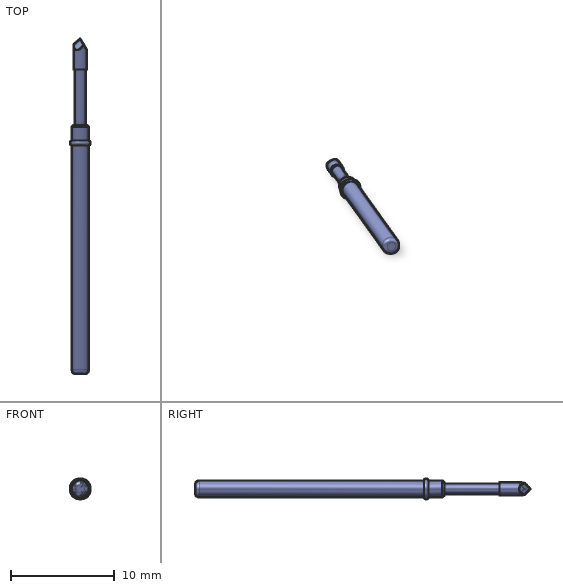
import cadquery as cq

total_length = 32.3
barrel_diameter = 1.65
barrel_radius = barrel_diameter / 2
barrel_end_fillet = 0.42
barrel_length = 24.0
shoulder_chamfer = 0.2

ring_radius = 1.0
ring_width = 0.45
ring_center_y = 22.25

neck_diameter = 1.05
neck_radius = neck_diameter / 2
head_radius = 0.65
head_length = 2.97
tip_facets = 3
tip_facet_depth = 1.1


def cylinder_along_y(radius, start_y, end_y):
    return cq.Workplane("XZ", origin=(0, start_y, 0)).circle(radius).extrude(start_y - end_y)


def make_barrel():
    barrel = cylinder_along_y(barrel_radius, 0, barrel_length)
    barrel = barrel.faces("<Y").edges().fillet(barrel_end_fillet)
    return barrel.faces(">Y").edges().chamfer(shoulder_chamfer)


def make_press_ring():
    """Rounded collar: an arc bulging out of the barrel, revolved around the Y axis."""
    half_width = ring_width / 2
    profile = (
        cq.Workplane("XY")
        .moveTo(0, ring_center_y - half_width)
        .lineTo(barrel_radius, ring_center_y - half_width)
        .threePointArc((ring_radius, ring_center_y), (barrel_radius, ring_center_y + half_width))
        .lineTo(0, ring_center_y + half_width)
        .close()
    )
    return profile.revolve(360, (0, 0, 0), (0, 1, 0))


def make_head():
    """Plunger head cut to a pyramid with one facet facing +X and an edge facing -X."""
    head = cylinder_along_y(head_radius, total_length - head_length, total_length)
    cutter = (
        cq.Workplane("XY")
        .moveTo(0, total_length)
        .lineTo(head_radius, total_length - tip_facet_depth)
        .lineTo(2 * head_radius, total_length - tip_facet_depth)
        .lineTo(2 * head_radius, total_length + head_radius)
        .lineTo(0, total_length + head_radius)
        .close()
        .extrude(2 * head_radius, both=True)
    )
    for facet in range(tip_facets):
        head = head.cut(cutter.rotate((0, 0, 0), (0, 1, 0), facet * 360 / tip_facets))
    return head


def make_neck():
    """Slimmer plunger shaft, rooted inside the barrel so that the two fuse."""
    return cylinder_along_y(neck_radius, barrel_length / 2, total_length - head_length)


result = make_barrel().union(make_press_ring()).union(make_neck()).union(make_head())